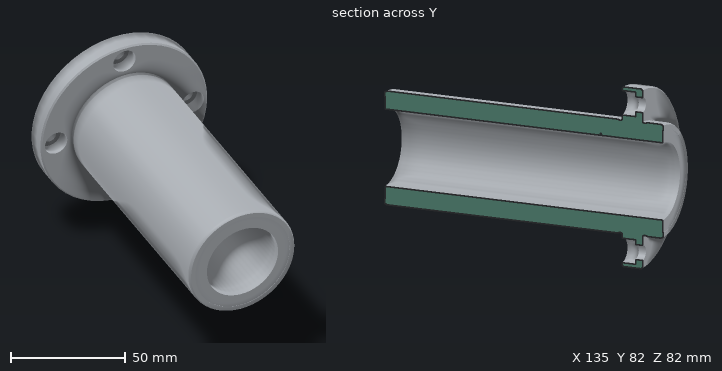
import cadquery as cq
import math

length = 135.0
sleeve_diameter = 52.0
bore_diameter = 35.0

seal_diameter = 46.5
seal_recess_depth = 0.1

crown_length = 1.5
crown_depth = 0.7
crown_radius = 3.0

flange_diameter = 82.0
flange_thickness = 10.0
flange_start = 10.0
flange_end = flange_start + flange_thickness
flange_chamfer = 0.7

relief_width = 2.0
relief_depth = 0.34

hole_count = 4
hole_diameter = 6.6
hole_circle_diameter = 67.1
counterbore_diameter = 11.0
counterbore_depth = 6.5

AXIS_START = (0, 0, 0)
AXIS_END = (1, 0, 0)


def make_sleeve_and_flange():
    """Revolve the outer outline, given as (X, radius), about the X axis."""
    sleeve_radius = sleeve_diameter / 2
    flange_radius = flange_diameter / 2
    end_radius = sleeve_radius - crown_depth
    groove_radius = sleeve_radius - relief_depth

    return (
        cq.Workplane("XY")
        .lineTo(0, end_radius)
        .radiusArc((crown_length, sleeve_radius), crown_radius)
        .lineTo(flange_start - relief_width, sleeve_radius)
        .threePointArc((flange_start - relief_width / 2, groove_radius), (flange_start, sleeve_radius))
        .lineTo(flange_start, flange_radius - flange_chamfer)
        .lineTo(flange_start + flange_chamfer, flange_radius)
        .lineTo(flange_end - flange_chamfer, flange_radius)
        .lineTo(flange_end, flange_radius - flange_chamfer)
        .lineTo(flange_end, sleeve_radius)
        .threePointArc(
            (flange_end + relief_width / 2, groove_radius),
            (flange_end + relief_width, sleeve_radius),
        )
        .lineTo(length - crown_length, sleeve_radius)
        .radiusArc((length, end_radius), crown_radius)
        .lineTo(length, 0)
        .close()
        .revolve(360, AXIS_START, AXIS_END)
    )


def make_bore():
    """Straight bore through the whole sleeve."""
    return cq.Workplane("YZ").circle(bore_diameter / 2).extrude(length)


def make_seal_recesses():
    """Shallow round recesses in both end faces of the sleeve."""
    recess = cq.Workplane("YZ").circle(seal_diameter / 2).extrude(seal_recess_depth)
    return recess.union(recess.translate((length - seal_recess_depth, 0, 0)))


def make_mounting_holes():
    """Through holes on the flange, counterbored from its +X face."""
    circle_radius = hole_circle_diameter / 2
    holes = (
        cq.Workplane("YZ", origin=(flange_start, 0, 0))
        .polarArray(circle_radius, 0, 360, hole_count)
        .circle(hole_diameter / 2)
        .extrude(flange_thickness)
    )
    counterbores = (
        cq.Workplane("YZ", origin=(flange_end - counterbore_depth, 0, 0))
        .polarArray(circle_radius, 0, 360, hole_count)
        .circle(counterbore_diameter / 2)
        .extrude(counterbore_depth)
    )
    return holes.union(counterbores)


result = (
    make_sleeve_and_flange()
    .cut(make_bore())
    .cut(make_seal_recesses())
    .cut(make_mounting_holes())
)